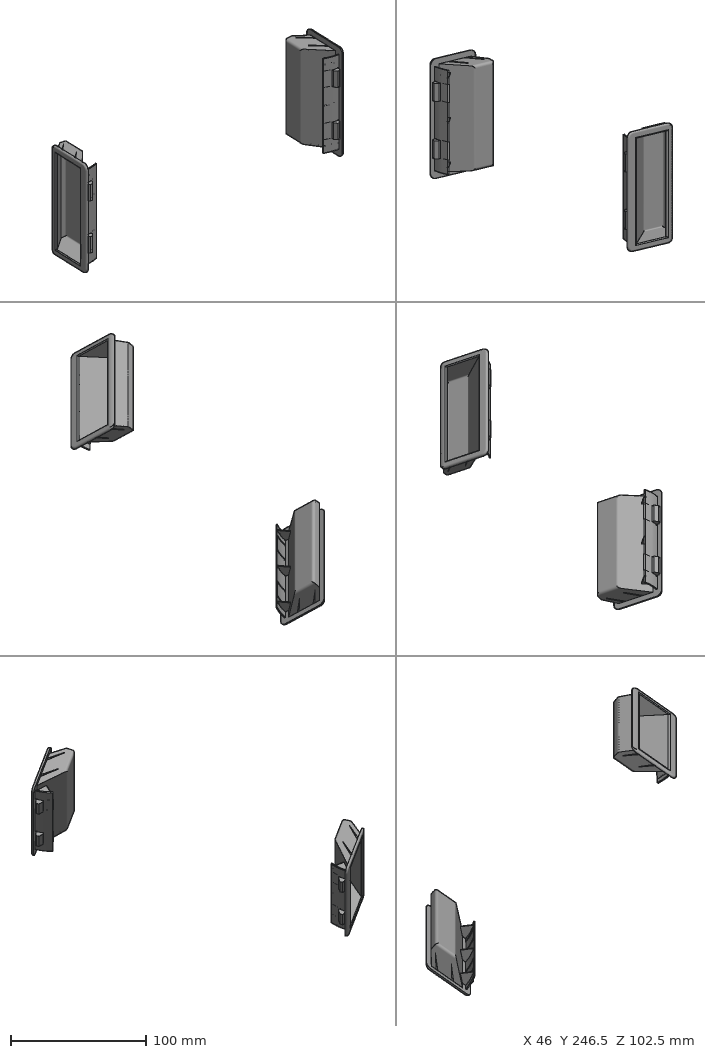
import cadquery as cq


overall_width = 46.0
overall_length = 246.5
overall_height = 102.5

flange_left = 4.5
flange_height = 93.6
flange_thickness = 2.0
flange_corner_radius = 4.7
flange_edge_radius = 1.5
left_bevel_width = 4.2
bevel_reach = 0.4
flange_rim = 0.7

cup_depth = 19.2
cup_wall = 1.0
cup_floor = 2.0
left_slope_depth = 12.3
left_slope_end = 8.9
back_width = 18.2
right_slope_end = 38.5
cup_half_height_front = 42.1
cup_half_height_back = 41.0
left_bend_radius = 2.5
back_edge_radius = 2.2
floor_edge_radius = 1.0
mouth_left = 9.4
mouth_right = 39.5
mouth_height = 84.3
mouth_inset = 1.2
mouth_depth = 1.0
overshoot = 2.5

rib_width = 1.7
rib_start = 13.3
rib_tip = 4.5
rib_tip_depth = 12.3
rib_pitch = 15.0
rib_bottom = 41.2
rib_top = 42.1

leaf_height = 81.3
leaf_thickness = 1.0
leaf_tip = 39.0
leaf_tip_depth = 14.8
leaf_middle = 41.0
leaf_middle_depth = 7.5
leaf_base = 41.5

latch_height = 14.0
latch_center = 22.5
latch_inset = 0.5
latch_gap = 1.0
latch_nose = 45.8
latch_nose_near = 4.0
latch_nose_far = 6.0
latch_heel = 44.4
latch_shoulder = 43.0
latch_shoulder_depth = 8.1

web_thickness = 1.0
web_pitch = 35.0
web_root = 32.0
web_root_depth = 7.5

flange_width = overall_width - flange_left
flange_center = flange_left + flange_width / 2
height_offset = (overall_height - flange_height) / 2


def upright_prism(outline, height, center_z=0.0):
    """Extrude a closed XY outline along Z, centred on center_z."""
    return outline.extrude(height / 2, both=True).translate((0, 0, center_z))


def make_flange():
    """Plate with rounded corners, a rounded front edge and a wide curved bevel on its left side."""
    plate = (
        cq.Workplane("XZ", origin=(flange_center, 0, 0))
        .rect(flange_width, flange_height)
        .extrude(-flange_thickness)
        .edges("|Y")
        .fillet(flange_corner_radius)
        .faces("<Y")
        .edges()
        .fillet(flange_edge_radius)
    )
    bevel_drop = flange_thickness - flange_rim
    left_profile = (
        cq.Workplane("XY")
        .moveTo(flange_left, flange_thickness)
        .lineTo(flange_left, bevel_drop)
        .threePointArc(
            (flange_left + left_bevel_width * bevel_reach, bevel_drop * (1 - bevel_reach) ** 2),
            (flange_left + left_bevel_width, 0),
        )
        .lineTo(overall_width, 0)
        .lineTo(overall_width, flange_thickness)
        .close()
    )
    return plate.intersect(upright_prism(left_profile, flange_height))


def slope_position(start, end, depth):
    """X at a given depth on the line through two (x, depth) points."""
    return start[0] + (end[0] - start[0]) * (depth - start[1]) / (end[1] - start[1])


left_slope = ((left_slope_end, flange_thickness), (0, left_slope_depth))
right_slope = ((right_slope_end, flange_thickness), (back_width, cup_depth))


def cup_plan():
    """Slanted cup outline, running past the front face."""
    return cq.Workplane("XY").polyline([
        (slope_position(*left_slope, -overshoot), -overshoot),
        (0, left_slope_depth),
        (0, cup_depth),
        (back_width, cup_depth),
        (slope_position(*right_slope, -overshoot), -overshoot),
    ]).close()


def drafted_block(front_depth, back_depth, inset):
    """Block between two depths whose end walls taper like the cup, pulled in by inset."""
    taper = (cup_half_height_front - cup_half_height_back) / (cup_depth - flange_thickness)
    front = cup_half_height_front - inset - taper * (front_depth - flange_thickness)
    back = cup_half_height_front - inset - taper * (back_depth - flange_thickness)
    profile = cq.Workplane("YZ").polyline([
        (front_depth, -front),
        (back_depth, -back),
        (back_depth, back),
        (front_depth, front),
    ])
    return profile.close().extrude(overall_width)


def make_cup():
    """Solid outside of the cup, from the back of the flange to the cup back."""
    body = upright_prism(cup_plan(), flange_height).intersect(drafted_block(flange_thickness, cup_depth, 0))
    body = body.edges(cq.selectors.NearestToPointSelector((0, left_slope_depth, 0))).fillet(left_bend_radius)
    return body.faces(">Y").edges().fillet(back_edge_radius)


def make_cavity():
    """Space inside the cup, open through the flange."""
    plan = cup_plan().offset2D(-cup_wall)
    block = drafted_block(-overshoot, cup_depth - cup_floor, cup_wall)
    cavity = upright_prism(plan, flange_height).intersect(block)
    return cavity.faces(">Y").edges().fillet(floor_edge_radius)


def make_mouth():
    """Sloped lead-in around the opening of the cavity."""
    width = mouth_right - mouth_left
    return (
        cq.Workplane("XZ", origin=(mouth_left + width / 2, 0, 0))
        .rect(width, mouth_height)
        .workplane(offset=-mouth_depth)
        .rect(width - 2 * mouth_inset, mouth_height - 2 * mouth_inset)
        .loft()
    )


def make_end_rib(shift, side):
    """Rib narrowing to a point, on the upper (side = 1) or lower (side = -1) end wall."""
    plan = cq.Workplane("XY").polyline([
        (rib_start + shift, flange_thickness),
        (rib_start + rib_width + shift, flange_thickness),
        (rib_tip + shift, rib_tip_depth),
    ])
    return upright_prism(plan.close(), rib_top - rib_bottom, side * (rib_top + rib_bottom) / 2)


def leaf_strip(height, center_z=0.0):
    """Curved strip leaning back from the flange towards the cup."""
    plan = (
        cq.Workplane("XY")
        .moveTo(leaf_base, flange_thickness)
        .threePointArc((leaf_middle, leaf_middle_depth), (leaf_tip, leaf_tip_depth))
        .lineTo(leaf_tip + leaf_thickness, leaf_tip_depth)
        .threePointArc(
            (leaf_middle + leaf_thickness, leaf_middle_depth),
            (leaf_base + leaf_thickness, flange_thickness),
        )
        .close()
    )
    return upright_prism(plan, height, center_z)


def latch_slot(center_z):
    """Gap that frees a latch tongue from the flange."""
    slot_depth = flange_thickness + latch_gap / 2
    return cq.Workplane("XY").box(overall_width, latch_gap, latch_height).translate(
        (overall_width / 2, slot_depth, center_z)
    )


def latch_nose_prism(center_z):
    """Pointed nose on the outer face of a latch tongue."""
    heel_depth = flange_thickness + latch_gap
    plan = cq.Workplane("XY").polyline([
        (leaf_base, heel_depth),
        (latch_heel, heel_depth),
        (latch_nose, latch_nose_near),
        (latch_nose, latch_nose_far),
        (latch_shoulder, latch_shoulder_depth),
        (leaf_middle, latch_shoulder_depth),
    ])
    return upright_prism(plan.close(), latch_height, center_z)


def make_leaf():
    """Leaf with two latch tongues that stand slightly proud of its inner face."""
    leaf = leaf_strip(leaf_height)
    for side in (-1, 1):
        center_z = side * latch_center
        tongue = leaf_strip(latch_height, center_z).translate((-latch_inset, 0, 0))
        leaf = leaf.union(tongue).cut(latch_slot(center_z)).union(latch_nose_prism(center_z))
    return leaf


def make_web(center_z):
    """Thin plate spanning from the slanted cup wall to the leaf."""
    plan = cq.Workplane("XY").polyline([
        (right_slope_end, flange_thickness),
        (web_root, web_root_depth),
        (leaf_tip, leaf_tip_depth),
        (leaf_middle, leaf_middle_depth),
        (leaf_base, flange_thickness),
    ])
    return upright_prism(plan.close(), web_thickness, center_z)


def make_pull():
    """One complete pull with its front face on Y = 0."""
    pull = make_flange().union(make_cup()).union(make_leaf())
    for side in (-1, 1):
        for shift in (0, rib_pitch):
            pull = pull.union(make_end_rib(shift, side))
    for level in (-1, 0, 1):
        pull = pull.union(make_web(level * web_pitch))
    return pull.cut(make_cavity()).cut(make_mouth())


pull = make_pull()
front_pull = pull.translate((-overall_width / 2, -overall_length / 2, -height_offset))
back_pull = pull.mirror("XZ").translate((-overall_width / 2, overall_length / 2, height_offset))

result = cq.Compound.makeCompound([front_pull.val(), back_pull.val()])